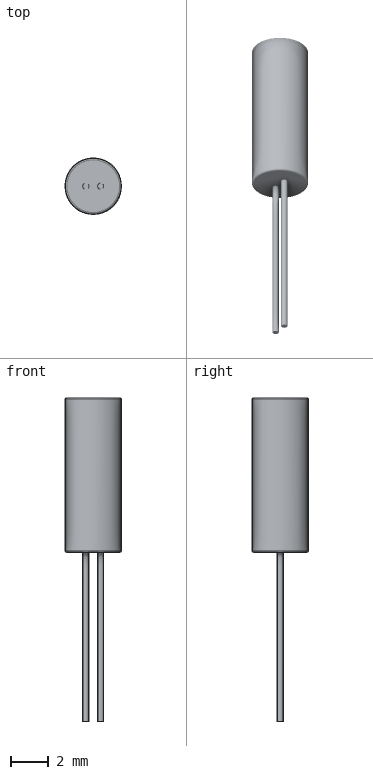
import cadquery as cq

total_height = 17.2
can_diameter = 3.0
can_height = 8.2

end_face_diameter = 2.8
rim_radius = (can_diameter - end_face_diameter) / 2

lead_diameter = 0.33
lead_spacing = 0.79
lead_length = total_height - can_height


def make_can():
    """Upright cylinder standing on Z = 0 with both rims rounded."""
    can = cq.Workplane("XY").circle(can_diameter / 2).extrude(can_height)
    return can.edges("%CIRCLE").fillet(rim_radius)


def make_leads():
    """Two straight wires hanging from the bottom face of the can."""
    lead_centers = [(-lead_spacing / 2, 0), (lead_spacing / 2, 0)]
    return cq.Workplane("XY").pushPoints(lead_centers).circle(lead_diameter / 2).extrude(-lead_length)


result = make_can().union(make_leads())